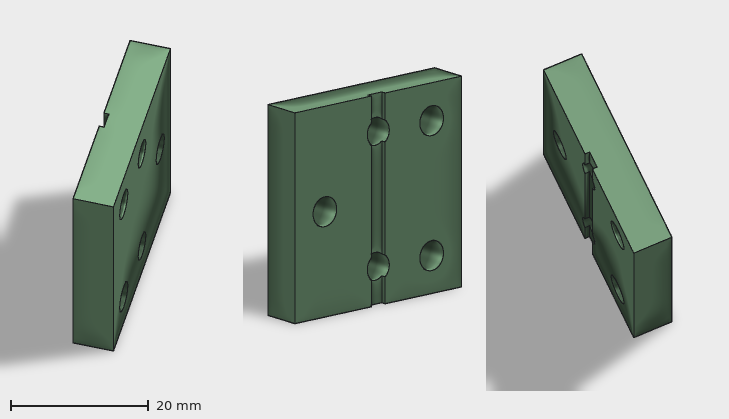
import cadquery as cq

THICKNESS = 6.1
SIDE = 31.75

GROOVE_WIDTH = 2.6
GROOVE_DEPTH = 0.75

HOLE_PITCH = 10.16
OUTER_HOLE_DIAMETER = 4.5
GROOVE_HOLE_DIAMETER = 4.2
OUTER_HOLES = [
    (HOLE_PITCH, 0),
    (-HOLE_PITCH, HOLE_PITCH),
    (-HOLE_PITCH, -HOLE_PITCH),
]
GROOVE_HOLES = [(0, HOLE_PITCH), (0, -HOLE_PITCH)]


def groove():
    """Rectangular channel cut into the middle of the -X face, open at both ends."""
    return cq.Workplane("XY").box(2 * GROOVE_DEPTH, GROOVE_WIDTH, SIDE).translate((-THICKNESS / 2, 0, 0))


def through_holes(centres, diameter):
    """Cylinders along X, through the whole plate, at the given (Y, Z) centres."""
    return (
        cq.Workplane("YZ")
        .pushPoints(centres)
        .circle(diameter / 2)
        .extrude(THICKNESS, both=True)
    )


plate = cq.Workplane("XY").box(THICKNESS, SIDE, SIDE)
result = (
    plate.cut(groove())
    .cut(through_holes(OUTER_HOLES, OUTER_HOLE_DIAMETER))
    .cut(through_holes(GROOVE_HOLES, GROOVE_HOLE_DIAMETER))
)